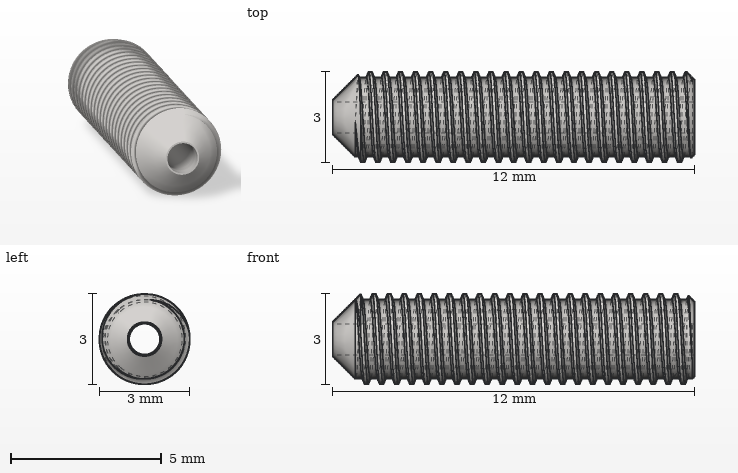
import cadquery as cq

length = 12.0
major_radius = 1.5
root_radius = 1.32
tip_radius = 0.56
bore_diameter = 1.02
end_chamfer = 0.26

turns = 24
pitch = length / turns
root_width = 0.24
crest_width = 0.11

cone_length = major_radius - tip_radius

seam_angle = 45


def make_blank():
    """Turned body: 45 degree cone point at the start, 45 degree chamfer at the far end."""
    body = (
        cq.Workplane("XY")
        .lineTo(0, tip_radius)
        .lineTo(cone_length, major_radius)
        .lineTo(length - end_chamfer, major_radius)
        .lineTo(length, major_radius - end_chamfer)
        .lineTo(length, 0)
        .close()
        .revolve(360, (0, 0, 0), (1, 0, 0))
    )
    return body.rotate((0, 0, 0), (1, 0, 0), seam_angle)


def make_groove():
    """Helical thread groove, starting inside the cone's length and ending past the far end."""
    overshoot = 0.04
    depth = major_radius - root_radius
    mouth_width = pitch - crest_width
    flank_slope = (mouth_width - root_width) / 2 / depth
    outer_radius = major_radius + overshoot
    outer_width = mouth_width + 2 * overshoot * flank_slope

    helix = cq.Wire.makeHelix(pitch, (turns + 1) * pitch, root_radius)
    groove = (
        cq.Workplane("XZ")
        .moveTo(root_radius, -root_width / 2)
        .lineTo(outer_radius, -outer_width / 2)
        .lineTo(outer_radius, outer_width / 2)
        .lineTo(root_radius, root_width / 2)
        .close()
        .sweep(cq.Workplane(obj=helix), isFrenet=True)
    )
    return groove.rotate((0, 0, 0), (1, 1, 1), 120)


bore = cq.Workplane("YZ").circle(bore_diameter / 2).extrude(length)

result = make_blank().cut(make_groove()).cut(bore)